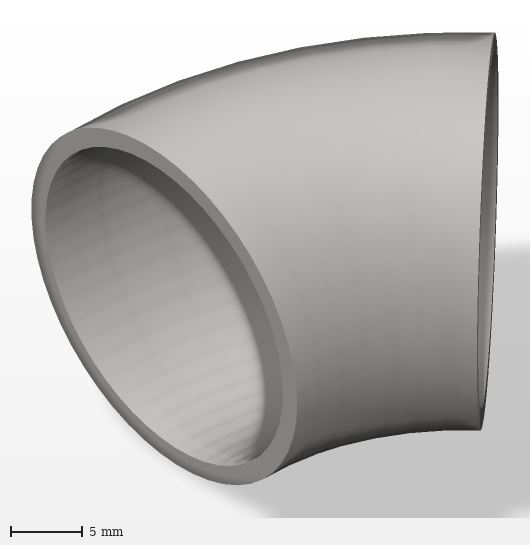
import cadquery as cq

outer_diameter = 28.0
wall_thickness = 1.5
bend_radius = 31.5
bend_angle = 45.0

outer_radius = outer_diameter / 2
inner_radius = outer_radius - wall_thickness


def pipe_elbow():
    """Ring in the XZ plane, centred on the origin, swept toward +Y and +X."""
    ring = cq.Workplane("XZ").circle(outer_radius).circle(inner_radius)
    return ring.revolve(bend_angle, (bend_radius, 1, 0), (bend_radius, 0, 0))


result = pipe_elbow()